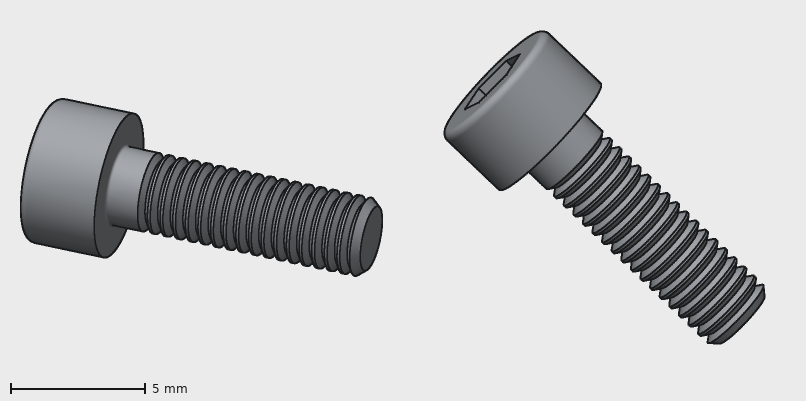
import cadquery as cq
import math

total_length = 13.0
head_diameter = 5.5
head_height = 3.0
head_edge_radius = 0.3

shank_diameter = 3.0
neck_fillet = 0.1

first_groove_start = 4.28
last_groove_start = 12.28
thread_depth = 0.27
flank_length = 0.2
groove_count = 17

socket_flats = 2.55
socket_depth = 1.3
drill_diameter = 2.52
drill_point_angle = 120.0

head_radius = head_diameter / 2
shank_radius = shank_diameter / 2
root_radius = shank_radius - thread_depth
thread_pitch = (last_groove_start - first_groove_start) / (groove_count - 1)


def screw_body():
    """Revolve the half outline of the head, neck and ring-grooved thread."""
    arc_inset = 1 - math.sqrt(0.5)
    edge_inset = head_edge_radius * arc_inset
    neck_inset = neck_fillet * arc_inset
    outline = (
        cq.Workplane("XY")
        .moveTo(0, 0)
        .lineTo(0, head_radius - head_edge_radius)
        .threePointArc((edge_inset, head_radius - edge_inset), (head_edge_radius, head_radius))
        .lineTo(head_height, head_radius)
        .lineTo(head_height, shank_radius + neck_fillet)
        .threePointArc(
            (head_height + neck_inset, shank_radius + neck_inset),
            (head_height + neck_fillet, shank_radius),
        )
    )
    for groove in range(groove_count):
        groove_start = first_groove_start + groove * thread_pitch
        outline = (
            outline
            .lineTo(groove_start, shank_radius)
            .lineTo(groove_start + flank_length, root_radius)
            .lineTo(groove_start + 2 * flank_length, shank_radius)
        )
    outline = outline.lineTo(total_length, root_radius).lineTo(total_length, 0).close()
    return outline.revolve(360, (0, 0, 0), (1, 0, 0))


def hex_socket():
    """Hexagonal recess with two flats facing up and down."""
    across_corners = socket_flats / math.cos(math.radians(30))
    return cq.Workplane("YZ").polygon(6, across_corners).extrude(socket_depth)


def drill_point():
    """Conical bottom of the socket."""
    drill_radius = drill_diameter / 2
    cone_height = drill_radius / math.tan(math.radians(drill_point_angle / 2))
    cone = cq.Solid.makeCone(
        drill_radius, 0, cone_height, cq.Vector(socket_depth, 0, 0), cq.Vector(1, 0, 0)
    )
    return cq.Workplane(obj=cone)


result = screw_body().cut(hex_socket()).cut(drill_point())